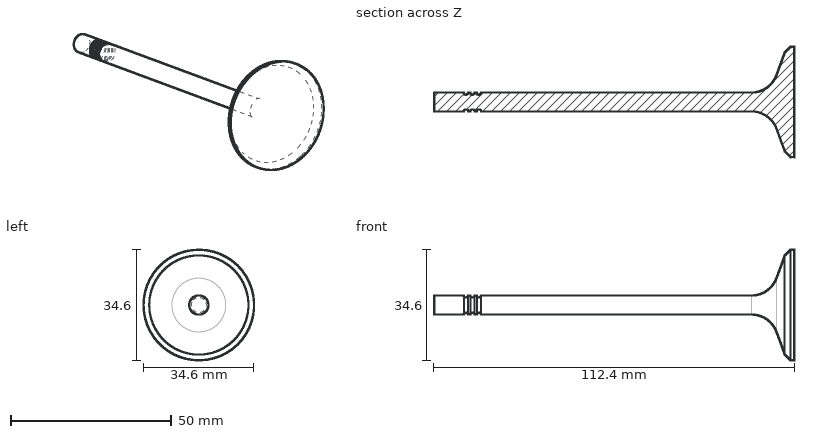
import math

import cadquery as cq


total_length = 112.38
stem_radius = 3.0
head_radius = 34.57 / 2

groove_count = 3
first_groove_centre = 9.9
groove_pitch = 2.03
groove_radius = 0.65

margin_width = 1.25
seat_width = 1.8
back_angle = math.radians(20)
neck_fillet_radius = 8.2

tip_x = -total_length / 2
face_x = total_length / 2
margin_x = face_x - margin_width
seat_x = margin_x - seat_width
seat_inner_radius = head_radius - seat_width

neck_turn = math.pi / 2 - back_angle
cone_inner_radius = stem_radius + neck_fillet_radius * (1 - math.cos(neck_turn))
cone_x = seat_x - (seat_inner_radius - cone_inner_radius) * math.tan(back_angle)
neck_x = cone_x - neck_fillet_radius * math.sin(neck_turn)
neck_mid_point = (
    neck_x + neck_fillet_radius * math.sin(neck_turn / 2),
    stem_radius + neck_fillet_radius * (1 - math.cos(neck_turn / 2)),
)


def add_groove(outline, centre_x):
    """Run the outline along the stem to a groove and through its semicircular bottom."""
    return (
        outline.lineTo(centre_x - groove_radius, stem_radius)
        .threePointArc(
            (centre_x, stem_radius - groove_radius),
            (centre_x + groove_radius, stem_radius),
        )
    )


def build_valve():
    """Revolve the half outline, drawn as (axial position, radius), about X."""
    outline = cq.Workplane("XY").moveTo(tip_x, 0).lineTo(tip_x, stem_radius)
    for index in range(groove_count):
        outline = add_groove(outline, tip_x + first_groove_centre + index * groove_pitch)
    outline = (
        outline.lineTo(neck_x, stem_radius)
        .threePointArc(neck_mid_point, (cone_x, cone_inner_radius))
        .lineTo(seat_x, seat_inner_radius)
        .lineTo(margin_x, head_radius)
        .lineTo(face_x, head_radius)
        .lineTo(face_x, 0)
        .close()
    )
    return outline.revolve(360, (0, 0, 0), (1, 0, 0))


result = build_valve()